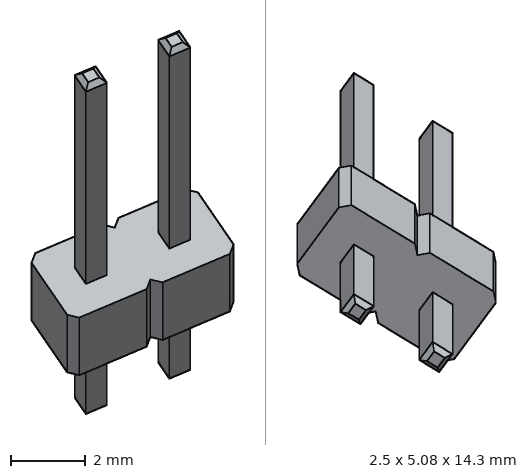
import cadquery as cq

pin_count = 2
pitch = 2.55
total_height = 14.3

body_width = 2.5
body_length = 5.08
body_height = 2.5
body_bottom = 3.3
corner_cut = 0.25

pin_width = 0.65
tip_width = 0.35
tip_height = 0.16


def make_body():
    """Chamfered block with a V-groove on both sides between neighbouring pins."""
    body = (
        cq.Workplane("XY")
        .workplane(offset=body_bottom)
        .rect(body_width, body_length)
        .extrude(body_height)
        .edges("|Z")
        .chamfer(corner_cut)
    )
    side = body_width / 2
    for index in range(1, pin_count):
        groove_y = (index - pin_count / 2) * pitch
        for direction in (-1, 1):
            groove = (
                cq.Workplane("XY")
                .workplane(offset=body_bottom)
                .moveTo(direction * side, groove_y - corner_cut)
                .lineTo(direction * (side - corner_cut), groove_y)
                .lineTo(direction * side, groove_y + corner_cut)
                .close()
                .extrude(body_height)
            )
            body = body.cut(groove)
    return body


def make_taper(start, end, y):
    """Pin end that narrows from full width at start to tip width at end."""
    return (
        cq.Workplane("XY", origin=(0, y, start))
        .rect(pin_width, pin_width)
        .workplane(offset=end - start)
        .rect(tip_width, tip_width)
        .loft(ruled=True)
    )


def make_pin(y):
    """Full-height square pin centred at the given Y."""
    shaft_top = total_height - tip_height
    shaft = (
        cq.Workplane("XY", origin=(0, y, tip_height))
        .rect(pin_width, pin_width)
        .extrude(shaft_top - tip_height)
    )
    top_tip = make_taper(shaft_top, total_height, y)
    bottom_tip = make_taper(tip_height, 0, y)
    return shaft.union(top_tip).union(bottom_tip)


result = make_body()
for pin_index in range(pin_count):
    pin_y = (pin_index - (pin_count - 1) / 2) * pitch
    result = result.union(make_pin(pin_y))